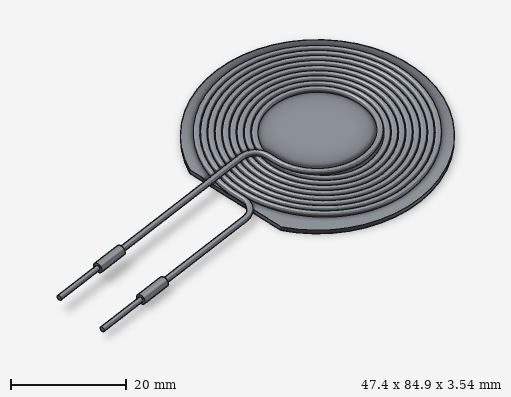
import cadquery as cq
import math

plate_radius = 23.69
plate_thickness = 0.89
flat_distance = 21.2

wire_diameter = 1.1
turns = 9
inner_radius = 10.83
turn_pitch = 1.26
outer_radius = inner_radius + (turns - 1) * turn_pitch
coil_level = plate_thickness + wire_diameter / 2
crossing_level = coil_level + wire_diameter

lead_offset = 5.0
lead_bend_radius = 3.5
bend_centre_x = lead_offset - lead_bend_radius
ferrule_diameter = 2.0
ferrule_length = 6.0
tip_diameter = 1.0
tip_length = 10.0
lead_end_y = -61.22
tip_start_y = lead_end_y + tip_length
ferrule_start_y = tip_start_y + ferrule_length

outer_start_angle = math.degrees(math.asin(bend_centre_x / (outer_radius + lead_bend_radius)))

UP = cq.Vector(0, 0, 1)
TOWARD_X = cq.Vector(1, 0, 0)


def on_circle(radius, degrees, level):
    """Point on a circle about Z, with the angle counted from +X toward +Y."""
    angle = math.radians(degrees)
    return cq.Vector(radius * math.cos(angle), radius * math.sin(angle), level)


def circle_arc(radius, start, end, level):
    """Arc of a turn about the coil axis, between two angles in degrees that fall along the winding."""
    points = [on_circle(radius, angle, level) for angle in (start, (start + end) / 2, end)]
    return cq.Edge.makeThreePointArc(*points)


def step_inward(radius):
    """Quarter ellipse from +X to -Y that ends one pitch closer to the axis."""
    centre = cq.Vector(0, 0, coil_level)
    return cq.Edge.makeEllipse(radius, radius - turn_pitch, centre, UP, TOWARD_X, 270, 360)


def ramp_up(radius):
    """Quarter turn from +Y to +X that climbs smoothly by one wire diameter."""
    steps = 8
    points = []
    for step in range(steps + 1):
        share = step / steps
        climb = wire_diameter * (1 - math.cos(math.pi * share)) / 2
        points.append(on_circle(radius, 90 * (1 - share), coil_level + climb))
    return cq.Edge.makeSpline(points)


def lead_edges(side, bend_centre_y, bend_start_angle, level):
    """Lead centre line: a bend away from the winding, then a straight along -Y to the ferrule."""
    bend_end_angle = 90 - side * 90
    bend_middle_angle = (bend_start_angle + bend_end_angle) / 2
    bend_centre = cq.Vector(side * bend_centre_x, bend_centre_y, 0)
    bend_start, bend_middle, bend_end = (
        bend_centre + on_circle(lead_bend_radius, angle, level)
        for angle in (bend_start_angle, bend_middle_angle, bend_end_angle)
    )
    lead_end = cq.Vector(side * lead_offset, ferrule_start_y, level)
    return [
        cq.Edge.makeThreePointArc(bend_start, bend_middle, bend_end),
        cq.Edge.makeLine(bend_end, lead_end),
    ]


def outer_lead_edges():
    """The outer lead bends straight out of the winding, tangent to its outermost turn."""
    bend_centre_y = -(outer_radius + lead_bend_radius) * math.cos(math.radians(outer_start_angle))
    return lead_edges(1, bend_centre_y, 90 + outer_start_angle, coil_level)


def inner_lead_edges():
    """The inner lead leaves the winding along a short straight before its bend."""
    turn_end = cq.Vector(0, -inner_radius, crossing_level)
    bend_start = cq.Vector(-bend_centre_x, -inner_radius, crossing_level)
    exit_line = cq.Edge.makeLine(turn_end, bend_start)
    return [exit_line, *lead_edges(-1, -inner_radius - lead_bend_radius, 90, crossing_level)]


def wire_path():
    """Centre line from the outer lead, through the winding, to the inner lead above it."""
    edges = outer_lead_edges()
    start_angle = 270 + outer_start_angle
    for turn in range(turns - 1):
        radius = outer_radius - turn * turn_pitch
        edges.append(circle_arc(radius, start_angle, 0, coil_level))
        edges.append(step_inward(radius))
        start_angle = 270
    edges.append(circle_arc(inner_radius, 270, 90, coil_level))
    edges.append(ramp_up(inner_radius))
    edges.append(circle_arc(inner_radius, 0, -90, crossing_level))
    edges.extend(inner_lead_edges())
    return cq.Wire.assembleEdges(edges)


def make_plate():
    half_flat = math.sqrt(plate_radius**2 - flat_distance**2)
    return (
        cq.Workplane("XY")
        .moveTo(-half_flat, -flat_distance)
        .threePointArc((0, plate_radius), (half_flat, -flat_distance))
        .close()
        .extrude(plate_thickness)
    )


def lead_cylinder(lead_x, start_y, level, diameter, length):
    return cq.Workplane("XZ", origin=(lead_x, start_y, level)).circle(diameter / 2).extrude(length)


def make_coil():
    wire_start = cq.Workplane("XZ", origin=(lead_offset, ferrule_start_y, coil_level))
    wire_section = wire_start.circle(wire_diameter / 2)
    coil = wire_section.sweep(cq.Workplane(wire_path()), transition="transformed")
    for lead_x, level in ((lead_offset, coil_level), (-lead_offset, crossing_level)):
        ferrule = lead_cylinder(lead_x, ferrule_start_y, level, ferrule_diameter, ferrule_length)
        tip = lead_cylinder(lead_x, tip_start_y, level, tip_diameter, tip_length)
        coil = coil.union(ferrule).union(tip)
    return coil


plate = make_plate()
coil = make_coil()

result = cq.Compound.makeCompound([plate.val(), *coil.vals()])